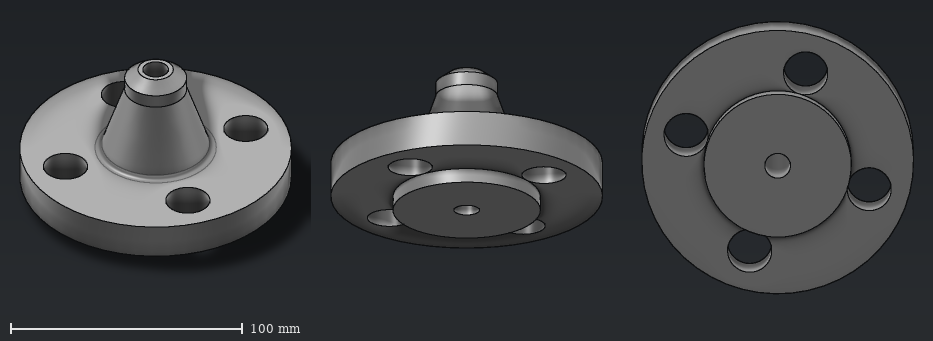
import cadquery as cq
import math

flange_diameter = 117.3
flange_thickness = 15.6
face_diameter = 63.6
face_height = 6.3

total_height = 63.5
hub_base_diameter = 48.0
neck_diameter = 26.7
neck_height = 6.0
tip_diameter = 15.3
bevel_angle = 37.5
hub_fillet_radius = 3.0
bore_diameter = 11.0

bolt_hole_count = 4
bolt_hole_diameter = 19.0
bolt_circle_diameter = 82.6

flange_top = face_height + flange_thickness
bevel_height = (neck_diameter - tip_diameter) / 2 * math.tan(math.radians(bevel_angle))
neck_top = total_height - bevel_height
neck_bottom = neck_top - neck_height


def flange_body():
    """Revolve the solid outline of the face, disc, hub, neck and bevel about Z."""
    outline = (
        cq.Workplane("XZ")
        .moveTo(0, 0)
        .lineTo(face_diameter / 2, 0)
        .lineTo(face_diameter / 2, face_height)
        .lineTo(flange_diameter / 2, face_height)
        .lineTo(flange_diameter / 2, flange_top)
        .lineTo(hub_base_diameter / 2, flange_top)
        .lineTo(neck_diameter / 2, neck_bottom)
        .lineTo(neck_diameter / 2, neck_top)
        .lineTo(tip_diameter / 2, total_height)
        .lineTo(0, total_height)
        .close()
    )
    return outline.revolve(360, (0, 0, 0), (0, 1, 0))


def round_hub_base(body):
    """Fillet the corner where the tapered hub meets the disc."""
    reach = hub_base_diameter / 2 + hub_fillet_radius
    margin = 0.1
    hub_corner = cq.selectors.BoxSelector(
        (-reach, -reach, flange_top - margin),
        (reach, reach, flange_top + margin),
        boundingbox=True,
    )
    return body.edges(hub_corner).fillet(hub_fillet_radius)


def bore():
    return cq.Workplane("XY").circle(bore_diameter / 2).extrude(total_height)


def bolt_holes():
    return (
        cq.Workplane("XY")
        .polarArray(bolt_circle_diameter / 2, 0, 360, bolt_hole_count)
        .circle(bolt_hole_diameter / 2)
        .extrude(flange_top)
    )


result = round_hub_base(flange_body()).cut(bore()).cut(bolt_holes())